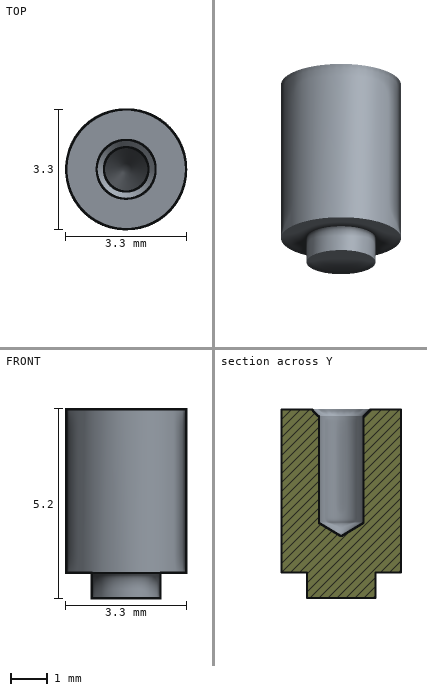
import cadquery as cq
import math

total_height = 5.2
body_diameter = 3.3
pin_diameter = 1.9
pin_height = 0.7
hole_diameter = 1.22
hole_depth = 3.12
countersink_diameter = 1.62
countersink_angle = 90
drill_point_angle = 118


def cone_height(large_diameter, small_diameter, included_angle):
    """Height of a cone frustum with the given included angle."""
    radial_step = (large_diameter - small_diameter) / 2
    return radial_step / math.tan(math.radians(included_angle / 2))


pin = cq.Workplane("XY").circle(pin_diameter / 2).extrude(pin_height)
body = (
    cq.Workplane("XY", origin=(0, 0, pin_height))
    .circle(body_diameter / 2)
    .extrude(total_height - pin_height)
)

countersink_depth = cone_height(countersink_diameter, hole_diameter, countersink_angle)
drill_point_height = cone_height(hole_diameter, 0, drill_point_angle)
hole_floor = total_height - hole_depth

hole = (
    cq.Workplane("XZ")
    .moveTo(0, total_height)
    .lineTo(countersink_diameter / 2, total_height)
    .lineTo(hole_diameter / 2, total_height - countersink_depth)
    .lineTo(hole_diameter / 2, hole_floor)
    .lineTo(0, hole_floor - drill_point_height)
    .close()
    .revolve(360, (0, 0, 0), (0, 1, 0))
)

result = body.union(pin).cut(hole)